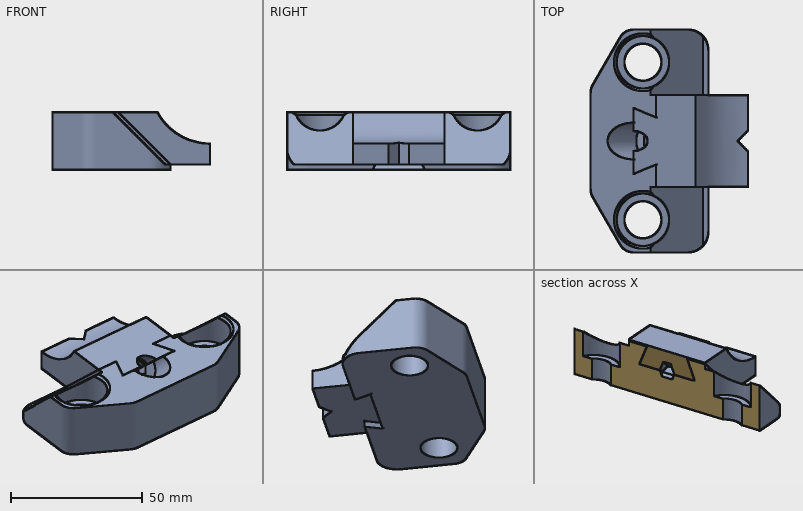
import cadquery as cq
import math

HEIGHT = 22.0
TOTAL_REACH = 60.0

BASE_LENGTH = 45.0
BASE_WIDTH = 85.0
BACK_FLAT_WIDTH = 39.95
BACK_SIDE_ANGLE = 60.0
BACK_CORNER_RADIUS = 6.0
FRONT_CORNER_RADIUS = 8.0

LIP_HEIGHT = 2.0
SLOPE_BOTTOM_X = BASE_LENGTH
SLOPE_TOP_X = SLOPE_BOTTOM_X - (HEIGHT - LIP_HEIGHT)
SIDE_STEP = 2.0

HOLE_X = 20.0
HOLE_SPACING = 60.0
HOLE_DIAMETER = 14.0
COUNTERBORE_DIAMETER = 20.0
COUNTERBORE_FLOOR_Z = 9.0
HOLE_CHAMFER = 1.0

DOVETAIL_DEPTH = 6.0
DOVETAIL_WIDTH = 25.0
DOVETAIL_FLANK_ANGLE = 30.0
DOVETAIL_DEPTH_X = DOVETAIL_DEPTH * math.sqrt(2)
DOVETAIL_NECK = DOVETAIL_WIDTH - 2 * DOVETAIL_DEPTH * math.tan(math.radians(DOVETAIL_FLANK_ANGLE))

ARM_WIDTH = 35.0
ARM_TOP_END_X = 39.95
ARM_TIP_Z = 10.0
NOTCH_DEPTH = 4.0

BORE_DIAMETER = 14.0
ARM_GROOVE_DIAMETER = 7.5
BORE_DEPTH = 8.4
HEX_ACROSS_FLATS = 5.5
HEX_DEPTH = 6.0
OUTER_RUN = 17.0


def base_blank():
    """Plate with a tapered back and rounded upright corners."""
    half_width = BASE_WIDTH / 2
    half_back = BACK_FLAT_WIDTH / 2
    taper_x = (half_width - half_back) / math.tan(math.radians(BACK_SIDE_ANGLE))
    outline = [
        (0, -half_back),
        (taper_x, -half_width),
        (BASE_LENGTH, -half_width),
        (BASE_LENGTH, half_width),
        (taper_x, half_width),
        (0, half_back),
    ]
    blank = cq.Workplane("XY").polyline(outline).close().extrude(HEIGHT)
    blank = blank.edges("|Z and >X").fillet(FRONT_CORNER_RADIUS)
    middle_x = (taper_x + BASE_LENGTH - FRONT_CORNER_RADIUS) / 2
    back_edges = cq.selectors.BoxSelector((-0.85, -BASE_WIDTH, 0), (middle_x, BASE_WIDTH, HEIGHT))
    return blank.edges("|Z").edges(back_edges).fillet(BACK_CORNER_RADIUS)


def above_slope(setback, width):
    """Prism of the space above the slope, moved back in X by the setback."""
    outline = [
        (SLOPE_TOP_X - setback, HEIGHT),
        (SLOPE_BOTTOM_X - setback, LIP_HEIGHT),
        (TOTAL_REACH, LIP_HEIGHT),
        (TOTAL_REACH, HEIGHT),
    ]
    return cq.Workplane("XZ").polyline(outline).close().extrude(width / 2, both=True)


def dovetail(bottom_z):
    """Dovetail prism that runs down the slope from the top face to bottom_z."""
    back_x = SLOPE_TOP_X - DOVETAIL_DEPTH_X
    drop = HEIGHT - bottom_z
    section = [
        (back_x, -DOVETAIL_WIDTH / 2),
        (SLOPE_TOP_X, -DOVETAIL_NECK / 2),
        (SLOPE_TOP_X, DOVETAIL_NECK / 2),
        (back_x, DOVETAIL_WIDTH / 2),
    ]
    wire = cq.Wire.makePolygon([cq.Vector(x, y, HEIGHT) for x, y in section], close=True)
    run = cq.Vector(drop, 0, -drop)
    return cq.Workplane(cq.Solid.extrudeLinear(wire, [], run))


def screw_recess(bore_diameter):
    """Round bore down the slope with a blind hexagon socket in its floor."""
    axis_plane = cq.Plane(
        origin=(SLOPE_TOP_X - DOVETAIL_DEPTH_X, 0, HEIGHT),
        xDir=(0, 1, 0),
        normal=(1, 0, -1),
    )
    bore = (
        cq.Workplane(axis_plane)
        .workplane(offset=-OUTER_RUN)
        .circle(bore_diameter / 2)
        .extrude(OUTER_RUN + BORE_DEPTH)
    )
    socket = (
        cq.Workplane(axis_plane)
        .workplane(offset=BORE_DEPTH)
        .polygon(6, HEX_ACROSS_FLATS / math.cos(math.radians(30)))
        .extrude(HEX_DEPTH)
    )
    return bore.union(socket)


def mounting_hole(y):
    """Through hole with a chamfered counterbore."""
    counterbore_radius = COUNTERBORE_DIAMETER / 2
    profile = [
        (0, 0),
        (HOLE_DIAMETER / 2, 0),
        (HOLE_DIAMETER / 2, COUNTERBORE_FLOOR_Z),
        (counterbore_radius, COUNTERBORE_FLOOR_Z),
        (counterbore_radius, HEIGHT - HOLE_CHAMFER),
        (counterbore_radius + HOLE_CHAMFER, HEIGHT),
        (0, HEIGHT),
    ]
    hole = cq.Workplane("XZ").polyline(profile).close().revolve(360, (0, 0), (0, 1))
    return hole.translate((HOLE_X, y, 0))


def make_base():
    land = cq.Workplane("XY").box(2 * TOTAL_REACH, ARM_WIDTH, 2 * HEIGHT)
    side_cuts = above_slope(SIDE_STEP, BASE_WIDTH).cut(land)
    base = base_blank().cut(side_cuts).cut(above_slope(0, ARM_WIDTH))
    base = base.cut(dovetail(0))
    for y in (-HOLE_SPACING / 2, HOLE_SPACING / 2):
        base = base.cut(mounting_hole(y))
    return base.cut(screw_recess(BORE_DIAMETER))


def make_arm():
    run = TOTAL_REACH - ARM_TOP_END_X
    rise = HEIGHT - ARM_TIP_Z
    radius = (run**2 + rise**2) / (2 * rise)
    scoop = (
        cq.Workplane("XZ", origin=(TOTAL_REACH, 0, ARM_TIP_Z + radius))
        .circle(radius)
        .extrude(ARM_WIDTH / 2, both=True)
    )
    arm = above_slope(0, ARM_WIDTH).cut(scoop)

    notch = (
        cq.Workplane("XY")
        .polyline([
            (TOTAL_REACH - NOTCH_DEPTH, 0),
            (TOTAL_REACH, -NOTCH_DEPTH),
            (TOTAL_REACH, NOTCH_DEPTH),
        ])
        .close()
        .extrude(HEIGHT)
    )
    arm = arm.cut(notch).union(dovetail(LIP_HEIGHT))
    return arm.cut(screw_recess(ARM_GROOVE_DIAMETER))


base = make_base()
arm = make_arm()
result = cq.Compound.makeCompound([base.val(), arm.val()])